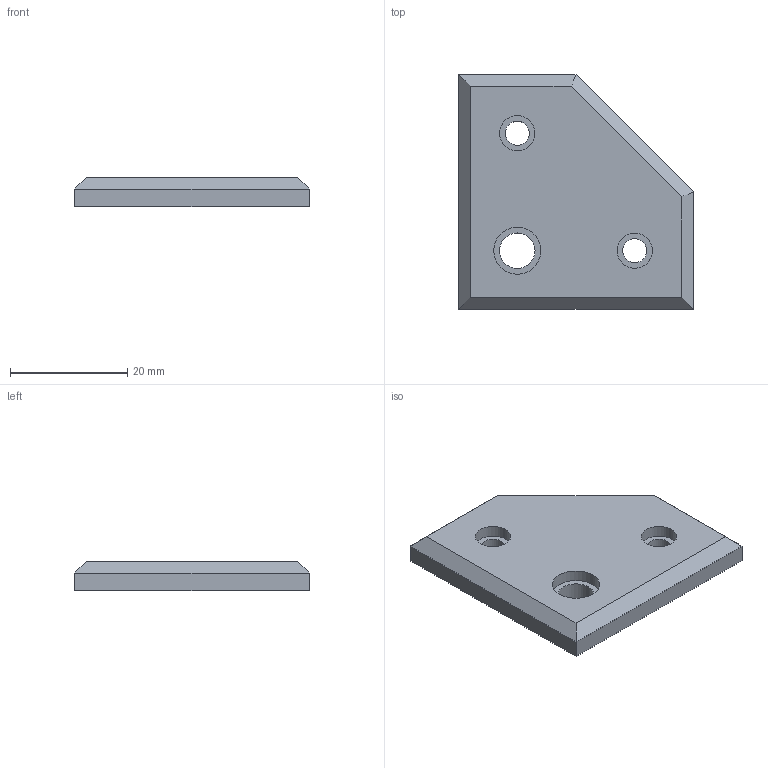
import cadquery as cq

side = 40.0
thickness = 5.0
corner_cut = 20.0
edge_chamfer = 2.0

hole_inset = 10.0
hole_spacing = 20.0
large_hole_diameter = 6.03
large_counterbore_diameter = 8.03
small_hole_diameter = 4.1
small_counterbore_diameter = 6.0
counterbore_depth = 2.0


def make_plate():
    """Square plate with one corner cut off and a chamfer around its top face."""
    outline = [
        (0, 0),
        (side, 0),
        (side, side - corner_cut),
        (side - corner_cut, side),
        (0, side),
    ]
    plate = cq.Workplane("XY").polyline(outline).close().extrude(thickness)
    return plate.faces(">Z").chamfer(edge_chamfer)


def cut_counterbored_holes(body, centers, hole_diameter, counterbore_diameter):
    """Through holes, each with a flat-bottomed counterbore sunk from the top face."""
    top_plane = cq.Workplane("XY", origin=(0, 0, thickness))
    return body.cut(
        top_plane.pushPoints(centers).circle(hole_diameter / 2).extrude(-thickness)
    ).cut(
        top_plane.pushPoints(centers).circle(counterbore_diameter / 2).extrude(-counterbore_depth)
    )


far_position = hole_inset + hole_spacing
large_centers = [(hole_inset, hole_inset)]
small_centers = [(far_position, hole_inset), (hole_inset, far_position)]

result = make_plate()
result = cut_counterbored_holes(
    result, large_centers, large_hole_diameter, large_counterbore_diameter
)
result = cut_counterbored_holes(
    result, small_centers, small_hole_diameter, small_counterbore_diameter
)